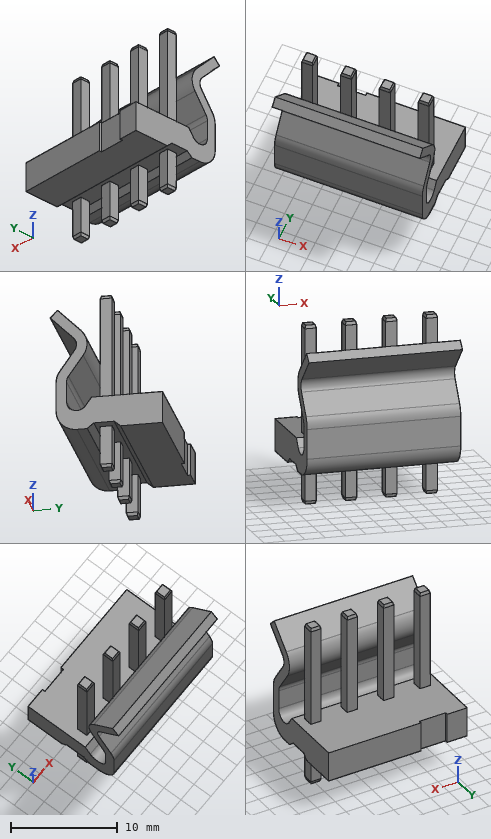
import cadquery as cq
import math


body_length = 15.08
back_y = 5.6
base_height = 3.15
wall_outer_y = -4.59
wall_thickness = 1.01

relief_depth = 0.52
relief_top_half_width = 0.98
relief_bottom_half_width = 1.59

inner_radius = 1.0
outer_radius = inner_radius + wall_thickness
upright_top_z = 4.9
lean_angle = 55.0
lean_length = 2.46
flare_angle = 135.0
flare_length = 3.14

channel_edge_y = -1.19
channel_floor_z = 1.92

notch_offset = 2.18
notch_width = 2.83
notch_depth = 0.3

pin_count = 4
pin_pitch = 3.96
pin_width = 1.13
pin_bottom_z = -3.61
pin_length = 17.45
pin_taper_length = 0.31
pin_taper_inset = 0.1


def polar(center, radius, angle):
    """Point in the YZ plane at an angle (degrees, from +Y towards +Z)."""
    turn = math.radians(angle)
    return (center[0] + radius * math.cos(turn), center[1] + radius * math.sin(turn))


def arc_to(sketch, center, radius, start, end):
    """Continue the outline along an arc that begins at its current point."""
    middle = (start + end) / 2
    return sketch.threePointArc(polar(center, radius, middle), polar(center, radius, end))


def make_body():
    bend_y = wall_outer_y + outer_radius
    corner = (bend_y, outer_radius)
    channel = (bend_y, channel_floor_z + inner_radius)
    lower_bend = (bend_y, upright_top_z)

    lean_normal = lean_angle - 90
    flare_normal = flare_angle - 90

    lean_start = polar(lower_bend, inner_radius + outer_radius, lean_normal + 180)
    upper_bend = polar(lean_start, lean_length, lean_angle)
    flare_outer_end = polar(polar(upper_bend, inner_radius, flare_normal), flare_length, flare_angle)
    flare_inner_end = polar(flare_outer_end, wall_thickness, flare_normal)

    edge_to_channel_y = channel_edge_y - channel[0]
    edge_to_channel_z = base_height - channel[1]
    edge_distance = math.hypot(edge_to_channel_y, edge_to_channel_z)
    edge_direction = math.degrees(math.atan2(edge_to_channel_z, edge_to_channel_y))
    slope_normal = edge_direction - math.degrees(math.acos(inner_radius / edge_distance))

    outline = (
        cq.Workplane("YZ")
        .moveTo(back_y, base_height)
        .lineTo(back_y, 0)
        .lineTo(relief_bottom_half_width, 0)
        .lineTo(relief_top_half_width, relief_depth)
        .lineTo(-relief_top_half_width, relief_depth)
        .lineTo(-relief_bottom_half_width, 0)
        .lineTo(bend_y, 0)
    )
    outline = arc_to(outline, corner, outer_radius, 270, 180)
    outline = outline.lineTo(wall_outer_y, upright_top_z)
    outline = arc_to(outline, lower_bend, outer_radius, 180, lean_normal + 180)
    outline = outline.lineTo(*polar(upper_bend, inner_radius, lean_normal))
    outline = arc_to(outline, upper_bend, inner_radius, lean_normal, flare_normal)
    outline = outline.lineTo(*flare_outer_end).lineTo(*flare_inner_end)

    outline = outline.lineTo(*polar(upper_bend, outer_radius, flare_normal))
    outline = arc_to(outline, upper_bend, outer_radius, flare_normal, lean_normal)
    outline = outline.lineTo(*polar(lower_bend, inner_radius, lean_normal + 180))
    outline = arc_to(outline, lower_bend, inner_radius, lean_normal + 180, 180)
    outline = outline.lineTo(bend_y - inner_radius, channel[1])
    outline = arc_to(outline, channel, inner_radius, 180, slope_normal + 360)
    outline = outline.lineTo(channel_edge_y, base_height).close()
    return outline.extrude(body_length / 2, both=True)


def make_notch():
    notch_x = -body_length / 2 + notch_offset
    return cq.Workplane("XY").box(notch_width, notch_depth, base_height, centered=False).translate(
        (notch_x, back_y - notch_depth, 0)
    )


def make_pin(x):
    tip_width = pin_width - 2 * pin_taper_inset
    shank_length = pin_length - 2 * pin_taper_length
    return (
        cq.Workplane("XY", origin=(x, 0, pin_bottom_z))
        .rect(tip_width, tip_width)
        .workplane(offset=pin_taper_length)
        .rect(pin_width, pin_width)
        .workplane(offset=shank_length)
        .rect(pin_width, pin_width)
        .workplane(offset=pin_taper_length)
        .rect(tip_width, tip_width)
        .loft(ruled=True)
    )


result = make_body().cut(make_notch())
for index in range(pin_count):
    pin_x = (index - (pin_count - 1) / 2) * pin_pitch
    result = result.union(make_pin(pin_x))